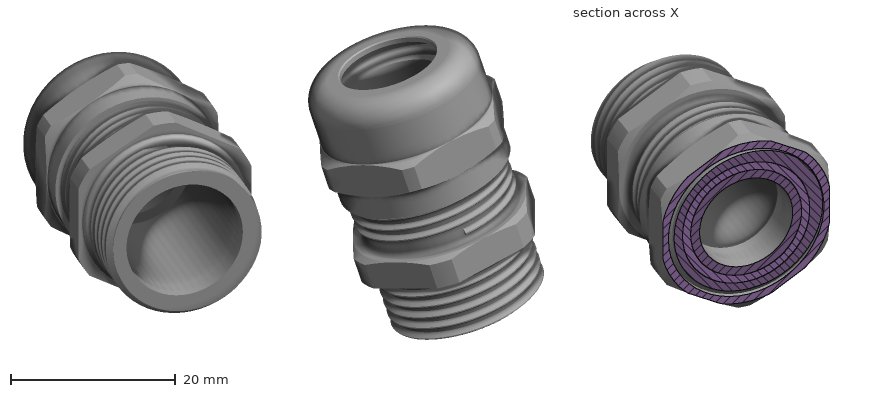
import cadquery as cq
import math

LENGTH = 33.45
ACROSS_FLATS = 22.0
CABLE_BORE_DIA = 12.2

NUT_DIA = 21.75
NUT_END = 15.58
DOME_FACE_DIA = 15.85
MOUTH_DIA = 12.3
MOUTH_RIM_DIA = 12.6
LIP_THICKNESS = 0.77
NUT_CAVITY_DIA = 16.95
NUT_HEX_START = 7.82
NUT_HEX_END = 12.4
NUT_HEX_CORNER_DIA = 24.55
NUT_HEX_CHAMFER = 0.7

BODY_START = 6.02
NECK_DIA = 19.03
NECK_FILLET = 0.67
SOCKET_SEAT = 12.7
PASSAGE_DIA = 14.8
BODY_HEX_START = 21.67
BODY_HEX_END = 25.38
BODY_HEX_CORNER_DIA = 23.95
BODY_HEX_CHAMFER = 0.4
ENTRY_DIA = 18.22

PITCH = 1.5
CREST_WIDTH = 0.17
FLANK_ANGLE = 30.0
ROOT_EMBED = 0.1
NUT_THREAD_DIA = 20.33
NUT_THREAD_START = 7.0
NUT_THREAD_TURNS = 8.94
NUT_THREAD_ANGLE = 0
NUT_THREAD_CLEARANCE = 0.07
ENTRY_THREAD_DIA = 19.73
ENTRY_THREAD_START = 26.42
ENTRY_THREAD_ANGLE = 180
RUN_OUT_TURNS = 0.5
RUN_IN_HEIGHT = 9.35
RUN_IN_LENGTH = 1.17

GASKET_DIA = 20.97
GASKET_END = 26.08
GASKET_FILLET = 0.67

CAGE_START = 2.45
CAGE_DIA = 16.7
CAGE_FILLET = 0.47
SEAL_START = 3.25
SEAL_DIA = 14.55


def cylinder(start, end, dia):
    """Solid cylinder along X."""
    return cq.Workplane("YZ", origin=(start, 0, 0)).circle(dia / 2).extrude(end - start)


def tube(start, end, outer_dia, inner_dia):
    """Plain ring along X."""
    return cylinder(start, end, outer_dia).cut(cylinder(start, end, inner_dia))


def revolve_x(profile):
    """Turn a closed (x, radius) profile about the X axis."""
    return profile.close().revolve(360, (0, 0, 0), (1, 0, 0))


def hexagon(start, end, corner_dia, front_chamfer, back_chamfer=0.0):
    """Hexagon with flats on +-Y and turned corners, chamfered down to the flats' inscribed circle."""
    corner_to_corner = ACROSS_FLATS / math.cos(math.pi / 6)
    prism = (
        cq.Workplane("YZ", origin=(start, 0, 0))
        .polygon(6, corner_to_corner)
        .extrude(end - start)
        .rotate((0, 0, 0), (1, 0, 0), 90)
    )
    turned = cq.Workplane("XY").moveTo(start, 0).lineTo(start, ACROSS_FLATS / 2)
    turned = turned.lineTo(start + front_chamfer, corner_dia / 2)
    turned = turned.lineTo(end - back_chamfer, corner_dia / 2)
    if back_chamfer:
        turned = turned.lineTo(end, ACROSS_FLATS / 2)
    return prism.intersect(revolve_x(turned.lineTo(end, 0)))


def thread_ridge(start, turns, root_dia, crest_dia, start_angle):
    """Right-hand ridge along X; start_angle turns its start about X, away from -Z."""
    root_radius = root_dia / 2 - ROOT_EMBED
    crest_radius = crest_dia / 2
    half_crest = CREST_WIDTH / 2
    half_root = half_crest + (crest_radius - root_radius) * math.tan(math.radians(FLANK_ANGLE))
    helix = cq.Wire.makeHelix(PITCH, turns * PITCH, root_radius)
    ridge = (
        cq.Workplane("XZ")
        .polyline([
            (root_radius, -half_root),
            (crest_radius, -half_crest),
            (crest_radius, half_crest),
            (root_radius, half_root),
        ])
        .close()
        .sweep(cq.Workplane(obj=helix), isFrenet=True)
    )
    along_x = ridge.rotate((0, 0, 0), (0, 1, 0), 90)
    return along_x.rotate((0, 0, 0), (1, 0, 0), start_angle).translate((start, 0, 0))


def make_dome_nut():
    """Domed cap with a mouth for the cable and a bore that clears the body's thread crests."""
    dome_radius = (NUT_DIA - DOME_FACE_DIA) / 2
    shell = cylinder(0, NUT_END, NUT_DIA).faces("<X").edges().fillet(dome_radius)
    nut = shell.union(
        hexagon(NUT_HEX_START, NUT_HEX_END, NUT_HEX_CORNER_DIA, NUT_HEX_CHAMFER, NUT_HEX_CHAMFER)
    )
    rim_chamfer = (MOUTH_RIM_DIA - MOUTH_DIA) / 2
    mouth = (
        cq.Workplane("XY")
        .moveTo(0, 0)
        .lineTo(0, MOUTH_RIM_DIA / 2)
        .lineTo(rim_chamfer, MOUTH_DIA / 2)
        .lineTo(LIP_THICKNESS, MOUTH_DIA / 2)
        .lineTo(LIP_THICKNESS, 0)
    )
    cavity = cylinder(LIP_THICKNESS, BODY_START, NUT_CAVITY_DIA)
    thread_bore = cylinder(BODY_START, NUT_END, NUT_THREAD_DIA + NUT_THREAD_CLEARANCE)
    return nut.cut(revolve_x(mouth)).cut(cavity).cut(thread_bore)


def run_in_block():
    """Block above the start of the entry thread, which leaves its first crest flat at +Z."""
    return cq.Workplane("XY", origin=(GASKET_END, 0, RUN_IN_HEIGHT)).box(
        RUN_IN_LENGTH, ENTRY_THREAD_DIA, ENTRY_THREAD_DIA, centered=(False, True, False)
    )


def make_body():
    """Threaded neck, hexagon and threaded entry, hollowed by a socket for the cage and a passage."""
    fillet_start = BODY_HEX_START - NECK_FILLET
    fillet_radius = NECK_DIA / 2 + NECK_FILLET
    fillet_mid = NECK_FILLET * math.sin(math.pi / 4)
    neck = revolve_x(
        cq.Workplane("XY")
        .moveTo(BODY_START, 0)
        .lineTo(BODY_START, NECK_DIA / 2)
        .lineTo(fillet_start, NECK_DIA / 2)
        .threePointArc(
            (fillet_start + fillet_mid, fillet_radius - fillet_mid),
            (BODY_HEX_START, fillet_radius),
        )
        .lineTo(BODY_HEX_START, 0)
    )
    body_hex = hexagon(BODY_HEX_START, BODY_HEX_END, BODY_HEX_CORNER_DIA, BODY_HEX_CHAMFER)
    entry = cylinder(BODY_HEX_END, LENGTH, ENTRY_DIA)

    nut_thread = thread_ridge(
        NUT_THREAD_START, NUT_THREAD_TURNS, NECK_DIA, NUT_THREAD_DIA, NUT_THREAD_ANGLE
    )
    entry_turns = (LENGTH - ENTRY_THREAD_START) / PITCH + RUN_OUT_TURNS
    entry_thread = thread_ridge(
        ENTRY_THREAD_START, entry_turns, ENTRY_DIA, ENTRY_THREAD_DIA, ENTRY_THREAD_ANGLE
    )
    entry_thread = entry_thread.intersect(cylinder(GASKET_END, LENGTH, GASKET_DIA))
    entry_thread = entry_thread.cut(run_in_block())

    body = neck.union(body_hex).union(entry).union(nut_thread).union(entry_thread)
    socket = cylinder(BODY_START, SOCKET_SEAT, CAGE_DIA)
    passage = cylinder(SOCKET_SEAT, LENGTH, PASSAGE_DIA)
    return body.cut(socket).cut(passage)


def make_gasket():
    """Flat ring against the hexagon, rounded on its outer edge."""
    ring = tube(BODY_HEX_END, GASKET_END, GASKET_DIA, ENTRY_DIA)
    return ring.faces(">X").edges(cq.selectors.RadiusNthSelector(-1)).fillet(GASKET_FILLET)


def make_cage():
    """Ring that holds the seal, rounded on its inner edge behind the nut's lip."""
    ring = tube(CAGE_START, SOCKET_SEAT, CAGE_DIA, SEAL_DIA)
    return ring.faces("<X").edges(cq.selectors.RadiusNthSelector(0)).fillet(CAGE_FILLET)


def make_seal():
    """Sleeve that grips the cable."""
    return tube(SEAL_START, SOCKET_SEAT, SEAL_DIA, CABLE_BORE_DIA)


dome_nut = make_dome_nut()
body = make_body()
gasket = make_gasket()
cage = make_cage()
seal = make_seal()

bodies = [dome_nut, body, gasket, cage, seal]
result = cq.Compound.makeCompound([part.solids().val() for part in bodies])